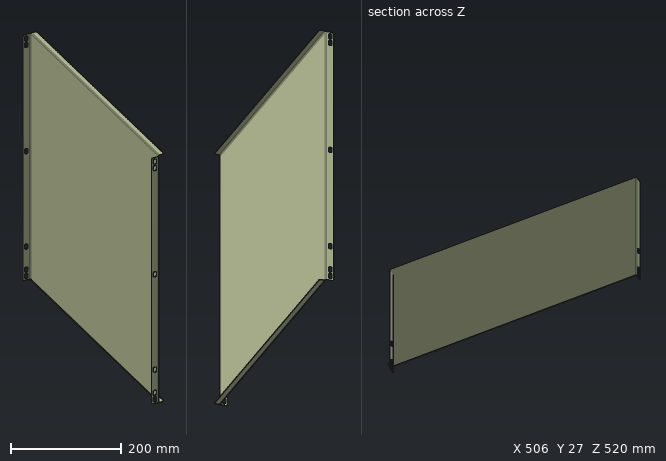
import cadquery as cq

WIDTH = 506.0
HEIGHT = 520.0
DEPTH = 27.0
THICKNESS = 1.0
OUTER_BEND_RADIUS = 2.0
INNER_BEND_RADIUS = OUTER_BEND_RADIUS - THICKNESS

REAR_DEPTH = 12.0
FRONT_DEPTH = DEPTH - REAR_DEPTH
CORNER_RELIEF = 2.0
FLANGE_CORNER_RADIUS = 3.0

SLOT_WIDTH = 7.0
SLOT_LENGTH = 11.0
SLOT_FROM_FLANGE_EDGE = 7.0
END_SLOT_HEIGHTS = (235.5, 249.0)
UPPER_SLOT_HEIGHT = 13.0
SLOT_SPACING = 200.0
SLOT_HEIGHTS = (
    *END_SLOT_HEIGHTS,
    UPPER_SLOT_HEIGHT,
    UPPER_SLOT_HEIGHT - SLOT_SPACING,
    *(-height for height in END_SLOT_HEIGHTS),
)


def make_panel():
    """Flat web between the four bend lines."""
    return (
        cq.Workplane("XY")
        .box(WIDTH - 2 * OUTER_BEND_RADIUS, THICKNESS, HEIGHT - 2 * OUTER_BEND_RADIUS)
        .translate((0, THICKNESS / 2, 0))
    )


def make_flange(panel_span, depth, length):
    """Bent flange on the local +X edge, folded toward local +Y.

    The outer web face is at local Y = 0 and the length is centred on local Z.
    """
    outer_edge = panel_span / 2
    bend_line = outer_edge - OUTER_BEND_RADIUS
    inner_face = outer_edge - THICKNESS
    return (
        cq.Workplane("XY")
        .moveTo(bend_line, 0)
        .radiusArc((outer_edge, OUTER_BEND_RADIUS), -OUTER_BEND_RADIUS)
        .lineTo(outer_edge, depth)
        .lineTo(inner_face, depth)
        .lineTo(inner_face, OUTER_BEND_RADIUS)
        .radiusArc((bend_line, THICKNESS), INNER_BEND_RADIUS)
        .close()
        .extrude(length / 2, both=True)
        .faces(">Y")
        .edges("|X")
        .fillet(FLANGE_CORNER_RADIUS)
    )


def make_rear_flange():
    """Top flange, folded back along +Y."""
    length = WIDTH - 2 * CORNER_RELIEF
    flange = make_flange(HEIGHT, REAR_DEPTH, length)
    return flange.rotate((0, 0, 0), (0, 1, 0), -90)


def make_front_flange():
    """Right-hand flange, folded forward along -Y from the panel's rear face."""
    length = HEIGHT - 2 * CORNER_RELIEF
    flange = make_flange(WIDTH, FRONT_DEPTH + THICKNESS, length)
    return flange.mirror("XZ").translate((0, THICKNESS, 0))


def make_slots():
    """Vertical slots running through both side flanges."""
    slot_y = SLOT_FROM_FLANGE_EDGE - FRONT_DEPTH
    return (
        cq.Workplane("YZ")
        .pushPoints([(slot_y, height) for height in SLOT_HEIGHTS])
        .slot2D(SLOT_LENGTH, SLOT_WIDTH, 90)
        .extrude(WIDTH, both=True)
    )


rear_flange = make_rear_flange()
front_flange = make_front_flange()

result = (
    make_panel()
    .union(rear_flange)
    .union(rear_flange.mirror("XY"))
    .union(front_flange)
    .union(front_flange.mirror("YZ"))
    .cut(make_slots())
)